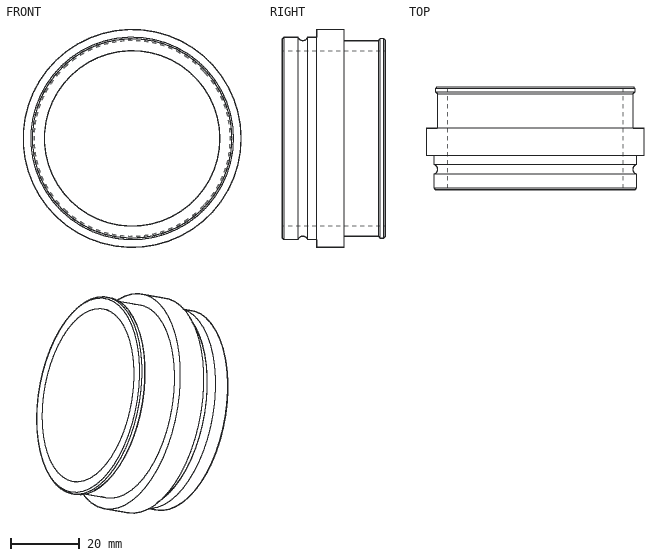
import cadquery as cq
import math

length = 30.0
bore_radius = 25.5

flange_radius = 63.5 / 2
flange_front = 10.0
flange_width = 8.0
flange_back = flange_front + flange_width

spigot_radius = 29.5
spigot_chamfer = 0.5
groove_position = 6.0
groove_radius = 1.5
groove_depth = 1.0
groove_half_width = math.sqrt(groove_radius**2 - (groove_radius - groove_depth) ** 2)

sleeve_radius = 28.5
lip_radius = 29.1
lip_width = 2.0
lip_chamfer = 0.5
lip_front = length - lip_width


def ring_profile():
    """Closed half section of the ring, as (radius, Y) on the XY plane."""
    section = cq.Workplane("XY").moveTo(bore_radius, 0)

    section = (
        section.lineTo(spigot_radius - spigot_chamfer, 0)
        .lineTo(spigot_radius, spigot_chamfer)
        .lineTo(spigot_radius, groove_position - groove_half_width)
        .threePointArc(
            (spigot_radius - groove_depth, groove_position),
            (spigot_radius, groove_position + groove_half_width),
        )
        .lineTo(spigot_radius, flange_front)
    )

    section = (
        section.lineTo(flange_radius, flange_front)
        .lineTo(flange_radius, flange_back)
        .lineTo(sleeve_radius, flange_back)
    )

    section = (
        section.lineTo(sleeve_radius, lip_front)
        .lineTo(lip_radius, lip_front + lip_chamfer)
        .lineTo(lip_radius, length - lip_chamfer)
        .lineTo(lip_radius - lip_chamfer, length)
    )

    return section.lineTo(bore_radius, length).close()


result = ring_profile().revolve(360, (0, 0, 0), (0, 1, 0))